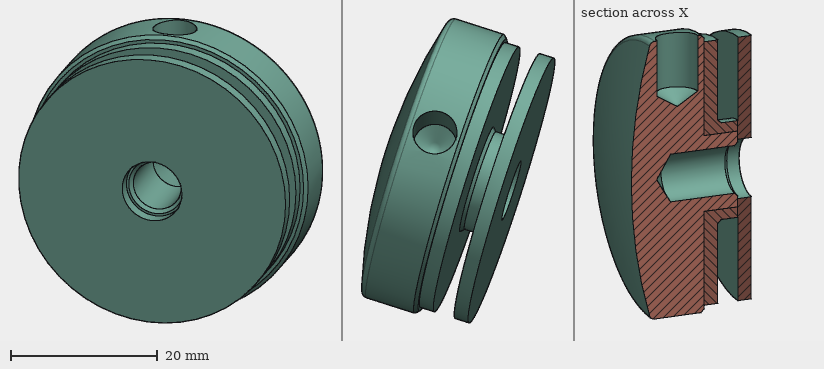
import cadquery as cq
import math


disc_dia = 38.0
disc_thickness = 2.0
gap = 3.0
flange_front = disc_thickness + gap
flange_back = flange_front + disc_thickness
disc_bore_dia = 8.5

sleeve_dia = 14.0
sleeve_root_dia = 15.0
sleeve_root_chamfer = (sleeve_root_dia - sleeve_dia) / 2
boss_dia = 11.0

head_dia = 40.0
head_front_dia = 39.0
rim_chamfer = (head_dia - head_front_dia) / 2
rim_height = 8.0
total_depth = 17.9
rim_fillet = 0.8
rim_back = flange_back + rim_height

drill_point_angle = 118.0
thread_hole_dia = 6.8
thread_hole_depth = 10.0
thread_mouth_dia = 7.8
side_hole_dia = 6.0
side_hole_depth = 8.0
side_hole_y = flange_back + rim_height / 2


def turn(profile):
    """Revolve a closed profile of (radius, y) points about the Y axis."""
    return profile.close().revolve(360, (0, 0, 0), (0, 1, 0))


def drill(dia, depth):
    """Drill shape entering at the origin along +Y, with a conical point."""
    radius = dia / 2
    point_length = radius / math.tan(math.radians(drill_point_angle / 2))
    outline = [(0, 0), (radius, 0), (radius, depth), (0, depth + point_length)]
    return turn(cq.Workplane("XY").polyline(outline))


def countersink(dia, mouth_dia):
    """45 degree cone that opens a hole mouth at the origin, along +Y."""
    depth = (mouth_dia - dia) / 2
    outline = [(0, 0), (mouth_dia / 2, 0), (dia / 2, depth), (0, depth)]
    return turn(cq.Workplane("XY").polyline(outline))


def make_head():
    """Domed head with its boss, a front thread hole and a hole in the rim."""
    radius = head_dia / 2
    dome_height = total_depth - rim_back
    dome_radius = (radius**2 + dome_height**2) / (2 * dome_height)
    half_angle = math.asin(radius / dome_radius) / 2
    dome_middle = (
        dome_radius * math.sin(half_angle),
        total_depth - dome_radius * (1 - math.cos(half_angle)),
    )
    head = turn(
        cq.Workplane("XY")
        .moveTo(0, disc_thickness)
        .lineTo(boss_dia / 2, disc_thickness)
        .lineTo(boss_dia / 2, flange_back)
        .lineTo(head_front_dia / 2, flange_back)
        .lineTo(radius, flange_back + rim_chamfer)
        .lineTo(radius, rim_back)
        .threePointArc(dome_middle, (0, total_depth))
    )
    margin = 0.4
    rim_edge = cq.selectors.BoxSelector(
        (-radius - margin, rim_back - margin, -radius - margin),
        (radius + margin, rim_back + margin, radius + margin),
        boundingbox=True,
    )
    head = head.edges(rim_edge).fillet(rim_fillet)

    thread_hole = drill(thread_hole_dia, thread_hole_depth)
    thread_hole = thread_hole.union(countersink(thread_hole_dia, thread_mouth_dia))
    side_hole = drill(side_hole_dia, side_hole_depth).rotate((0, 0, 0), (1, 0, 0), -90)
    head = head.cut(thread_hole.translate((0, disc_thickness, 0)))
    return head.cut(side_hole.translate((0, side_hole_y, radius)))


def make_bush():
    """Flange with a sleeve in front of it and a chamfer in the corner."""
    sleeve_radius = sleeve_dia / 2
    outline = [
        (boss_dia / 2, disc_thickness),
        (sleeve_radius, disc_thickness),
        (sleeve_radius, flange_front - sleeve_root_chamfer),
        (sleeve_root_dia / 2, flange_front),
        (disc_dia / 2, flange_front),
        (disc_dia / 2, flange_back),
        (boss_dia / 2, flange_back),
    ]
    return turn(cq.Workplane("XY").polyline(outline))


def make_backing_disc():
    """Flat disc with a clearance bore."""
    outline = [
        (disc_bore_dia / 2, 0),
        (disc_dia / 2, 0),
        (disc_dia / 2, disc_thickness),
        (disc_bore_dia / 2, disc_thickness),
    ]
    return turn(cq.Workplane("XY").polyline(outline))


head = make_head()
bush = make_bush()
backing_disc = make_backing_disc()

result = cq.Compound.makeCompound([head.val(), bush.val(), backing_disc.val()])